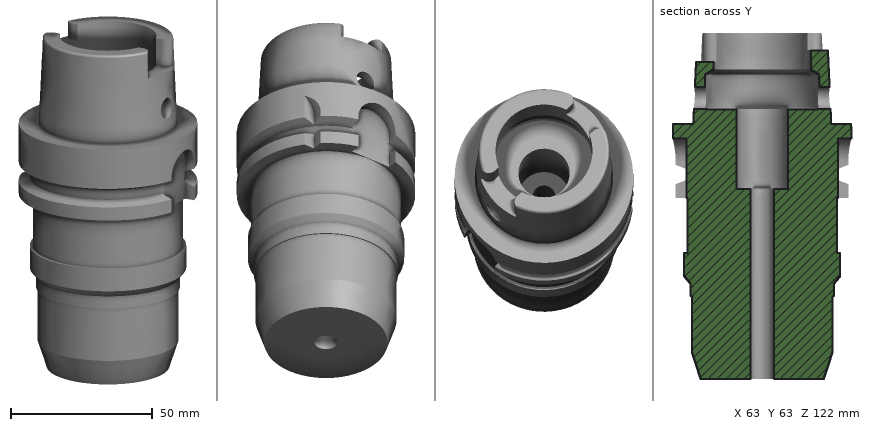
import cadquery as cq

height = 122.0

shank_base_radius = 24.4
shank_top_radius = 22.9
shank_rim_round = 1.0
flange_top = 90.0

flange_radius = 31.5
flange_bottom = 63.8
groove_radius = 27.7
groove_top = 73.9
groove_bottom = 70.3
groove_bevel_height = 1.6

body_radius = 26.5
collar_radius = 27.6
collar_top = 44.7
collar_bevel_top = 36.4
collar_bottom = 33.8
step_radius = 25.4
step_bottom = 29.3
nose_radius = 24.9
nose_taper_top = 9.8
nose_end_radius = 21.7

bore_radius = 17.1
bore_lip_depth = 12.9
undercut_radius = 20.0
undercut_bevel_height = 1.7
undercut_floor_bevel = 0.6
bore_floor = 95.2
screw_bore_radius = 9.0
screw_bore_floor = 67.1
coolant_radius = 4.0

cross_hole_radius = 3.8
cross_hole_height = 99.1

keyway_half_width = 6.1
keyway_corner_radius = 3.0
keyway_shoulder_x = 21.0
left_keyway_floor = 116.0
right_keyway_floor = 111.9

slot_half_width = 8.0
slot_floor_x = 26.7
slot_arch_center = 76.7
side_slot_arch_center = 77.7
side_slot_floor_x = 20.3
side_slot_inner_y = 20.0
side_slot_center_y = side_slot_inner_y + slot_half_width


def make_body():
    """Revolve the outer profile about the Z axis."""
    profile = [
        (0, 0),
        (nose_end_radius, 0),
        (nose_radius, nose_taper_top),
        (nose_radius, step_bottom),
        (step_radius, step_bottom),
        (step_radius, collar_bottom),
        (collar_radius, collar_bevel_top),
        (collar_radius, collar_top),
        (body_radius, collar_top),
        (body_radius, flange_bottom),
        (flange_radius, flange_bottom),
        (flange_radius, groove_bottom - groove_bevel_height),
        (groove_radius, groove_bottom),
        (groove_radius, groove_top),
        (flange_radius, groove_top + groove_bevel_height),
        (flange_radius, flange_top),
        (shank_base_radius, flange_top),
        (shank_top_radius, height),
        (0, height),
    ]
    body = cq.Workplane("XZ").polyline(profile).close().revolve(360, (0, 0), (0, 1))
    return body.faces(">Z").edges().fillet(shank_rim_round)


def make_bores():
    """Clamping bore with an undercut, screw bore and coolant hole, as one cutter."""
    lip = height - bore_lip_depth
    profile = [
        (0, 0),
        (coolant_radius, 0),
        (coolant_radius, screw_bore_floor),
        (screw_bore_radius, screw_bore_floor),
        (screw_bore_radius, bore_floor),
        (undercut_radius - undercut_floor_bevel, bore_floor),
        (undercut_radius, bore_floor + undercut_floor_bevel),
        (undercut_radius, lip - undercut_bevel_height),
        (bore_radius, lip),
        (bore_radius, height),
        (0, height),
    ]
    return cq.Workplane("XZ").polyline(profile).close().revolve(360, (0, 0), (0, 1))


def make_keyway(side, floor):
    """Keyway on one side (+1 or -1 along X); its rim corners are rounded outward."""
    straight_end = side * (keyway_shoulder_x - keyway_corner_radius)
    shoulder = side * keyway_shoulder_x
    outside = side * flange_radius
    mouth = keyway_half_width + keyway_corner_radius
    return (
        cq.Workplane("XY", origin=(0, 0, floor))
        .moveTo(0, -keyway_half_width)
        .lineTo(straight_end, -keyway_half_width)
        .tangentArcPoint((shoulder, -mouth), relative=False)
        .lineTo(outside, -mouth)
        .lineTo(outside, mouth)
        .lineTo(shoulder, mouth)
        .radiusArc((straight_end, keyway_half_width), side * keyway_corner_radius)
        .lineTo(0, keyway_half_width)
        .close()
        .extrude(height - floor)
    )


def make_arched_slot(side, floor_x, center_y, arch_center):
    """Slot with a round top and a flat floor facing along X, open at the flange bottom."""
    left = center_y - slot_half_width
    right = center_y + slot_half_width
    return (
        cq.Workplane("YZ", origin=(side * floor_x, 0, 0))
        .moveTo(left, flange_bottom)
        .lineTo(left, arch_center)
        .threePointArc((center_y, arch_center + slot_half_width), (right, arch_center))
        .lineTo(right, flange_bottom)
        .close()
        .extrude(side * (flange_radius - floor_x))
    )


cross_hole = (
    cq.Workplane("YZ", origin=(0, 0, cross_hole_height))
    .circle(cross_hole_radius)
    .extrude(flange_radius, both=True)
)

result = make_body().cut(make_bores()).cut(cross_hole)
for side, keyway_floor in ((-1, left_keyway_floor), (1, right_keyway_floor)):
    result = result.cut(make_keyway(side, keyway_floor))
    result = result.cut(make_arched_slot(side, slot_floor_x, 0, slot_arch_center))
result = result.cut(
    make_arched_slot(-1, side_slot_floor_x, side_slot_center_y, side_slot_arch_center)
)